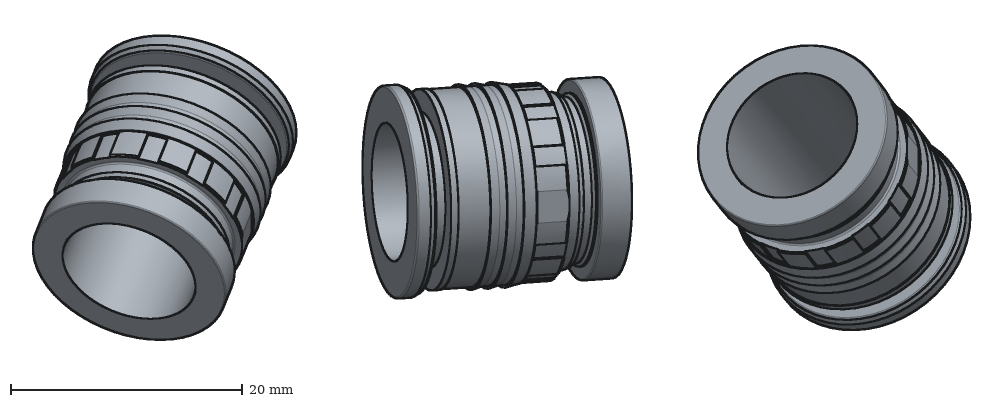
import cadquery as cq
import math

length = 19.4
bore_radius = 6.01

front_flange_radius = 8.75
front_flange_end = 2.8
flange_rounding = 0.12

groove_radius = 7.25
groove_foot_radius = 7.55
groove_foot_step = 2.95
groove_foot_end = groove_foot_step + groove_foot_radius - groove_radius
groove_end = 4.04
groove_rounding = 0.12

shoulder_tip_radius = 7.59
shoulder_radius = 7.75
shoulder_taper_end = 4.48
shoulder_rounding = 0.15

body_radius = 8.7

ring_radius = 8.61
ring_start = 5.59
ring_end = 8.54
ring_chamfer_radial = 0.1
ring_chamfer_axial = 0.17
recess_floor_radius = 8.44
recess_angle = 12.0
recess_pitch = 30.0
recess_rear_gap = 0.08
recess_length = ring_end - ring_start - recess_rear_gap
flat_distance = 8.5

barb_radius = 8.92
barb_land_length = 0.12
barb_land_end = ring_end + barb_land_length
barb_steps = [9.74, 11.23, 12.73]
barb_length = 0.85

collar_radius = 8.75
collar_start = 15.58
collar_end = 16.24

rear_groove_radius = 6.77
rear_groove_rounding = 0.23
rear_flange_radius = 9.25
rear_flange_start = 17.6
rear_flange_tip_radius = 9.02
rear_tip_rounding = 0.15
rear_flange_taper_end = 18.2
rear_edge_rounding = 0.15


def rounded_corner(profile, start, end, along_axis):
    """Draw a line to start and a quarter round to end, starting along Y (along_axis) or along the radius."""
    corner = (start[0], end[1]) if along_axis else (end[0], start[1])
    center = (start[0] + end[0] - corner[0], start[1] + end[1] - corner[1])
    middle = tuple(c + (k - c) * math.sqrt(0.5) for c, k in zip(center, corner))
    return profile.lineTo(*start).threePointArc(middle, end)


def turned_body():
    """Revolve the stepped outer outline, given as (radius, Y) points, around the Y axis."""
    outline = cq.Workplane("XY").moveTo(bore_radius, 0)

    inner_edge = front_flange_radius - flange_rounding
    outline = rounded_corner(outline, (inner_edge, 0), (front_flange_radius, flange_rounding), False)
    rounding_start = (front_flange_radius, front_flange_end - flange_rounding)
    outline = rounded_corner(outline, rounding_start, (inner_edge, front_flange_end), True)

    outline = outline.lineTo(groove_foot_radius, front_flange_end)
    outline = outline.lineTo(groove_foot_radius, groove_foot_step)
    outline = outline.lineTo(groove_radius, groove_foot_end)
    rounding_start = (groove_radius, groove_end - groove_rounding)
    outline = rounded_corner(outline, rounding_start, (groove_radius + groove_rounding, groove_end), True)

    outline = outline.lineTo(shoulder_tip_radius, groove_end)
    outline = outline.lineTo(shoulder_radius, shoulder_taper_end)
    rounding_start = (shoulder_radius, ring_start - shoulder_rounding)
    outline = rounded_corner(outline, rounding_start, (shoulder_radius + shoulder_rounding, ring_start), True)

    outline = outline.lineTo(ring_radius - ring_chamfer_radial, ring_start)
    outline = outline.lineTo(ring_radius, ring_start + ring_chamfer_axial)
    outline = outline.lineTo(ring_radius, ring_end)
    outline = outline.lineTo(body_radius, ring_end)

    for index, step in enumerate(barb_steps):
        barb_start = barb_land_end if index == 0 else step - barb_length
        outline = outline.lineTo(body_radius, barb_start)
        outline = outline.lineTo(barb_radius, step)
        outline = outline.lineTo(body_radius, step)

    outline = outline.lineTo(body_radius, collar_start)
    outline = outline.lineTo(collar_radius, collar_start)
    outline = outline.lineTo(collar_radius, collar_end)
    outline = outline.lineTo(rear_groove_radius, collar_end)
    rounding_start = (rear_groove_radius, rear_flange_start - rear_groove_rounding)
    rounding_end = (rear_groove_radius + rear_groove_rounding, rear_flange_start)
    outline = rounded_corner(outline, rounding_start, rounding_end, True)

    tip_start = (rear_flange_tip_radius - rear_tip_rounding, rear_flange_start)
    tip_end = (rear_flange_tip_radius, rear_flange_start + rear_tip_rounding)
    outline = rounded_corner(outline, tip_start, tip_end, False)
    outline = outline.lineTo(rear_flange_radius, rear_flange_taper_end)
    rounding_start = (rear_flange_radius, length - rear_edge_rounding)
    outline = rounded_corner(outline, rounding_start, (rear_flange_radius - rear_edge_rounding, length), True)

    outline = outline.lineTo(bore_radius, length).close()
    return outline.revolve(360, (0, 0, 0), (0, 1, 0))


def ring_recess(angle):
    """Shallow recess with radial walls and a round floor, centred at an angle from +X about Y."""
    overshoot = 0.2
    section_start = ring_start - overshoot
    outer_radius = ring_radius + overshoot
    recess = (
        cq.Workplane("XY")
        .moveTo(recess_floor_radius, section_start)
        .lineTo(outer_radius, section_start)
        .lineTo(outer_radius, ring_start + recess_length)
        .lineTo(recess_floor_radius, ring_start + recess_length)
        .close()
        .revolve(recess_angle, (0, 0, 0), (0, 1, 0))
    )
    return recess.rotate((0, 0, 0), (0, 1, 0), angle - recess_angle / 2)


def ring_flat(side):
    """Block that planes a flat on the toothed ring at the +X (side = 1) or -X (side = -1) end."""
    depth = ring_radius - flat_distance
    block = cq.Workplane("XY").box(2 * depth, recess_length, ring_radius)
    return block.translate((side * (flat_distance + depth), ring_start + recess_length / 2, 0))


result = turned_body()

for index in range(round(360 / recess_pitch)):
    recess_position = index * recess_pitch
    if recess_position % 180 != 0:
        result = result.cut(ring_recess(recess_position))

for side in (1, -1):
    result = result.cut(ring_flat(side))